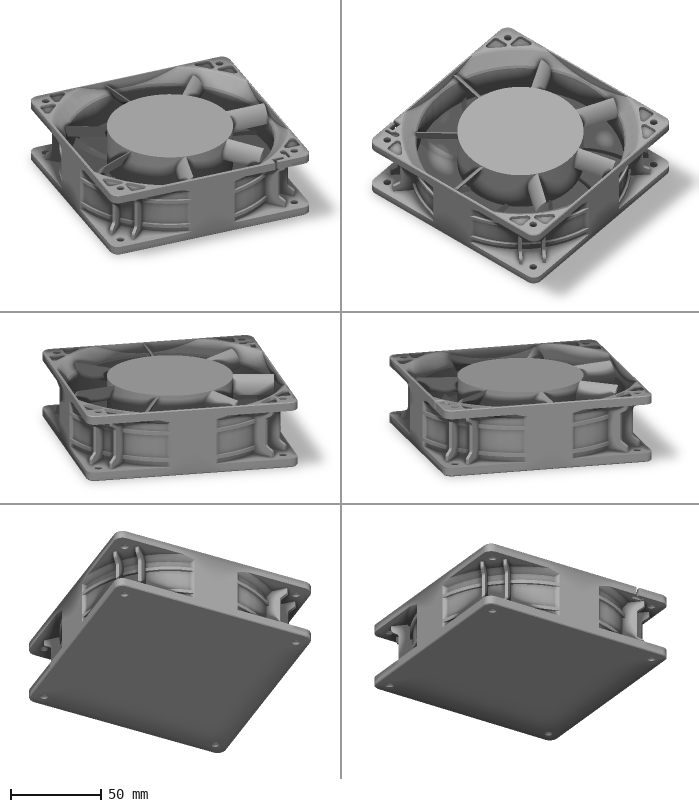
import cadquery as cq
import math

SIDE = 120.0
HALF = SIDE / 2
HEIGHT = 38.0
FLANGE = 5.0
CORNER_RADIUS = 5.0
EDGE_CHAMFER = 0.5
UPPER_FLANGE_Z = HEIGHT - FLANGE

DUCT_RADIUS = 57.8
BARREL_RADIUS = HALF
DUCT_TOP_Z = 30.2
FLARE_START = (58.5, 31.5)
FLARE_END = (65.0, 37.5)
MOUTH_RADIUS = 66.0
MOUTH_HALF = 58.8
CONE_BOTTOM_Z = 29.9
CONE_TOP_RADIUS = BARREL_RADIUS + UPPER_FLANGE_Z - CONE_BOTTOM_Z

BAND_RADIUS = 61.5
BAND_HEIGHT = 2.0
BAND_BOTTOMS = (8.0, 23.5)
PAD_HALF_WIDTH = 13.1
PAD_DEPTH = 3.6

RIB_OUTER_FACE = 7.5
RIB_INNER_FACE = 5.6
RIB_ROOT = 58.8
RIB_WAIST = 67.5
RIB_FOOT = 71.8
RIB_FOOT_HEIGHT = 3.5
RIB_STEP_HEIGHT = 2.4
RIB_ROUNDING = 1.8

HOLE_PITCH = 105.0
HOLE_DIAMETER = 4.3
POCKET_DEPTH = 2.0
POCKET_CORNER = (48.5, 58.2)
POCKET_LEG = 11.9
POCKET_ROUNDING = 1.8

SHORT_POCKET = [(46.9, 48.1), (58.2, 48.1), (58.2, 46.2), (54.7, 46.2), (53.0, 44.5), (50.5, 44.5)]
SHORT_POCKET_ARM_ROUNDING = 0.8
NOTCH_LEFT = 55.3
NOTCH_RIGHT = 58.0
NOTCH_BOTTOM = 37.8
NOTCH_TOP = 44.2
NOTCH_EXIT_TOP = 39.4
NOTCH_CHAMFER = 0.6

HUB_RADIUS = 35.0
STRUT_COUNT = 7
STRUT_START_ANGLE = 90.0
STRUT_SIDES = (-2.5, 3.4)
STRUT_HEIGHT = 10.2
STRUT_CREST = (1.5, 3.1)

DISC_TOP_Z = 13.5
BLADE_COUNT = 9
BLADE_ROOT_ANGLE = 117.9
BLADE_SWEEP = 15.5
BLADE_SPREAD = 3.6
BLADE_ROOT_HEIGHT = 1.7
BLADE_TIP_HEIGHT = 2.8
BLADE_SINK = 0.6
BLADE_STATIONS = (-0.08, 0.45, 1.08)


def square_block(half, bottom, top):
    return cq.Workplane("XY").workplane(offset=bottom).rect(2 * half, 2 * half).extrude(top - bottom)


def cylinder(radius, bottom, top):
    return cq.Workplane("XY").workplane(offset=bottom).circle(radius).extrude(top - bottom)


def four_sides(solid):
    """The same solid on each of the four sides."""
    copies = solid
    for angle in (90, 180, 270):
        copies = copies.union(solid.rotate((0, 0, 0), (0, 0, 1), angle))
    return copies


def flange(bottom, outer_face):
    plate = square_block(HALF, bottom, bottom + FLANGE).edges("|Z").fillet(CORNER_RADIUS)
    return plate.faces(outer_face).edges().chamfer(EDGE_CHAMFER)


def barrel():
    """Duct wall with its flared top, trimmed to the square outline."""
    outline = (
        cq.Workplane("XZ")
        .lineTo(BARREL_RADIUS, 0)
        .lineTo(BARREL_RADIUS, CONE_BOTTOM_Z)
        .lineTo(CONE_TOP_RADIUS, UPPER_FLANGE_Z)
        .lineTo(0, UPPER_FLANGE_Z)
        .close()
    )
    shell = outline.revolve(360, (0, 0), (0, 1))
    for bottom in BAND_BOTTOMS:
        shell = shell.union(cylinder(BAND_RADIUS, bottom, bottom + BAND_HEIGHT))
    return shell.intersect(square_block(HALF, FLANGE / 2, UPPER_FLANGE_Z))


def side_pads():
    base_half_width = PAD_HALF_WIDTH + PAD_DEPTH
    pad = (
        cq.Workplane("XY")
        .workplane(offset=FLANGE / 2)
        .polyline([
            (-PAD_HALF_WIDTH, -HALF),
            (PAD_HALF_WIDTH, -HALF),
            (base_half_width, PAD_DEPTH - HALF),
            (-base_half_width, PAD_DEPTH - HALF),
        ])
        .close()
        .extrude(HEIGHT - FLANGE)
    )
    return four_sides(pad)


def corner_ribs():
    """Ribs with a waist and a wider foot on each flange."""
    foot_top = FLANGE + RIB_FOOT_HEIGHT
    head_bottom = UPPER_FLANGE_Z - RIB_FOOT_HEIGHT
    plate = (
        cq.Workplane("XZ", origin=(0, RIB_OUTER_FACE, 0))
        .polyline([
            (RIB_ROOT, FLANGE),
            (RIB_FOOT, FLANGE),
            (RIB_FOOT, foot_top),
            (RIB_WAIST, foot_top + RIB_STEP_HEIGHT),
            (RIB_WAIST, head_bottom - RIB_STEP_HEIGHT),
            (RIB_FOOT, head_bottom),
            (RIB_FOOT, UPPER_FLANGE_Z),
            (RIB_ROOT, UPPER_FLANGE_Z),
        ])
        .close()
        .extrude(RIB_OUTER_FACE - RIB_INNER_FACE)
    )
    plate = plate.edges("|Y").edges("not(<X or <Z or >Z)").fillet(RIB_ROUNDING)
    pair = plate.union(plate.mirror("XZ"))
    return four_sides(pair.rotate((0, 0, 0), (0, 0, 1), 45))


def duct_bore():
    """Straight bore, bevelled lip, conical flare and a bevelled mouth."""
    bore = (
        cq.Workplane("XZ")
        .lineTo(DUCT_RADIUS, 0)
        .lineTo(DUCT_RADIUS, DUCT_TOP_Z)
        .lineTo(*FLARE_START)
        .lineTo(*FLARE_END)
        .lineTo(MOUTH_RADIUS, HEIGHT)
        .lineTo(0, HEIGHT)
        .close()
        .revolve(360, (0, 0), (0, 1))
    )
    return bore.intersect(square_block(MOUTH_HALF, 0, HEIGHT))


def mounting_holes():
    return (
        cq.Workplane("XY")
        .rect(HOLE_PITCH, HOLE_PITCH, forConstruction=True)
        .vertices()
        .circle(HOLE_DIAMETER / 2)
        .extrude(HEIGHT)
    )


def pocket_prism(points):
    return (
        cq.Workplane("XY")
        .workplane(offset=HEIGHT - POCKET_DEPTH)
        .polyline(points)
        .close()
        .extrude(POCKET_DEPTH)
    )


def short_pocket():
    pocket = pocket_prism(SHORT_POCKET)
    pocket = pocket.edges("|Z").edges("<X").fillet(POCKET_ROUNDING)
    return pocket.edges("|Z").edges(">X").fillet(SHORT_POCKET_ARM_ROUNDING)


def corner_pockets():
    """Two triangular pockets per corner; one of the eight is the short pocket."""
    x, y = POCKET_CORNER
    first = pocket_prism([(x, y), (x - POCKET_LEG, y), (x, y - POCKET_LEG)])
    first = first.edges("|Z").fillet(POCKET_ROUNDING)
    second = first.mirror("YZ").rotate((0, 0, 0), (0, 0, 1), -90)
    pockets = four_sides(first).union(short_pocket())
    for angle in (90, 180, 270):
        pockets = pockets.union(second.rotate((0, 0, 0), (0, 0, 1), angle))
    return pockets


def notch_outline(bottom):
    """L-shaped notch that runs out past the +X side."""
    exit_end = HALF + NOTCH_CHAMFER
    return (
        cq.Workplane("XY")
        .workplane(offset=bottom)
        .polyline([
            (NOTCH_LEFT, NOTCH_BOTTOM),
            (exit_end, NOTCH_BOTTOM),
            (exit_end, NOTCH_EXIT_TOP),
            (NOTCH_RIGHT, NOTCH_EXIT_TOP),
            (NOTCH_RIGHT, NOTCH_TOP),
            (NOTCH_LEFT, NOTCH_TOP),
        ])
        .close()
    )


def cable_notch():
    """Notch through the upper flange with bevelled top edges."""
    bevel = notch_outline(HEIGHT - NOTCH_CHAMFER).extrude(NOTCH_CHAMFER, taper=-45)
    return notch_outline(UPPER_FLANGE_Z).extrude(FLANGE).union(bevel)


def motor_base():
    return cylinder(HUB_RADIUS, DISC_TOP_Z, HEIGHT)


def struts():
    """Vanes, rounded on one side and flat on the other, from the motor base to the duct wall."""
    top_edge, bottom_edge = STRUT_SIDES
    crest_side, crest_drop = STRUT_CREST
    vane = (
        cq.Workplane("YZ")
        .moveTo(top_edge, HEIGHT)
        .threePointArc((crest_side, HEIGHT - crest_drop), (bottom_edge, HEIGHT - STRUT_HEIGHT))
        .close()
        .extrude(MOUTH_RADIUS)
    )
    vane = vane.mirror("XZ").intersect(cylinder(DUCT_RADIUS, 0, HEIGHT))
    vane = vane.cut(cylinder(HUB_RADIUS / 2, 0, HEIGHT))
    step = 360 / STRUT_COUNT
    return [
        vane.rotate((0, 0, 0), (0, 0, 1), STRUT_START_ANGLE + index * step) for index in range(STRUT_COUNT)
    ]


def make_housing():
    housing = flange(0, "<Z").union(flange(UPPER_FLANGE_Z, ">Z"))
    housing = housing.union(barrel()).union(side_pads()).union(corner_ribs())
    housing = housing.cut(duct_bore()).cut(mounting_holes())
    housing = housing.cut(corner_pockets()).cut(cable_notch())
    housing = housing.union(motor_base())
    for strut in struts():
        housing = housing.union(strut)
    return housing


def blade_section(fraction):
    """Triangular section at a fraction of the way from hub to tip, steep on its clockwise side."""
    radius = HUB_RADIUS + fraction * (DUCT_RADIUS - HUB_RADIUS)
    centre = BLADE_ROOT_ANGLE - BLADE_SWEEP * fraction
    height = BLADE_ROOT_HEIGHT + fraction * (BLADE_TIP_HEIGHT - BLADE_ROOT_HEIGHT)
    crest_angle = math.radians(centre - BLADE_SPREAD / 2)
    base_angle = crest_angle + math.radians(BLADE_SPREAD * (1 + BLADE_SINK / height))
    base_z = DISC_TOP_Z - BLADE_SINK
    crest_x, crest_y = radius * math.cos(crest_angle), radius * math.sin(crest_angle)
    base_x, base_y = radius * math.cos(base_angle), radius * math.sin(base_angle)
    return cq.Wire.makePolygon(
        [
            cq.Vector(base_x, base_y, base_z),
            cq.Vector(crest_x, crest_y, DISC_TOP_Z + height),
            cq.Vector(crest_x, crest_y, base_z),
        ],
        close=True,
    )


def make_impeller():
    """Disc with blades; both are built too long and then turned down to the bore."""
    blank_top = DISC_TOP_Z + 2 * BLADE_TIP_HEIGHT
    blade = cq.Workplane(cq.Solid.makeLoft([blade_section(fraction) for fraction in BLADE_STATIONS]))
    impeller = cylinder(HALF, 0, DISC_TOP_Z)
    for index in range(BLADE_COUNT):
        impeller = impeller.union(blade.rotate((0, 0, 0), (0, 0, 1), index * 360 / BLADE_COUNT))
    impeller = impeller.intersect(cylinder(DUCT_RADIUS, 0, blank_top))
    return impeller.cut(cylinder(HUB_RADIUS, DISC_TOP_Z, blank_top))


housing = make_housing()
impeller = make_impeller()

result = cq.Compound.makeCompound([housing.solids().val(), impeller.solids().val()])